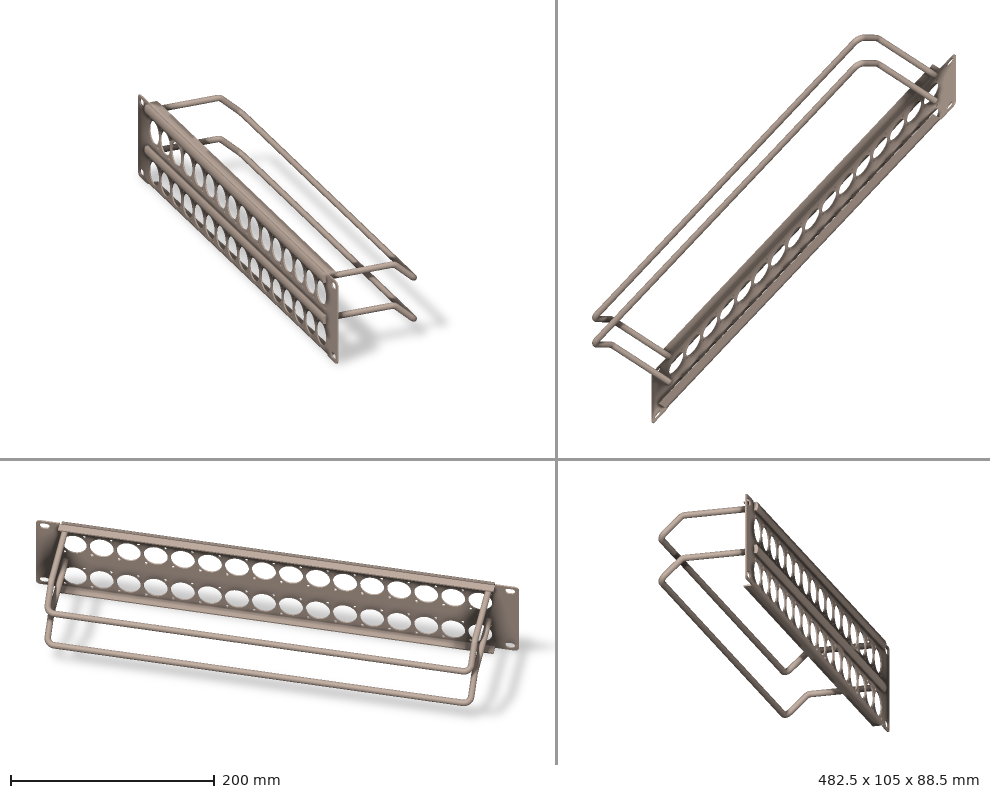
import cadquery as cq
import math

PANEL_WIDTH = 482.5
PANEL_HEIGHT = 88.5
SHEET = 1.5
CORNER_RADIUS = 4.0
ROWS = 2
ROW_PITCH = 44.5

FLANGE_LENGTH = 435.5
FLANGE_DEPTH = 10.0
BEND_INNER_RADIUS = 1.5
BEND_OUTER_RADIUS = BEND_INNER_RADIUS + SHEET

SLOT_SPACING_X = 465.0
SLOT_SPACING_Z = 76.0
SLOT_LENGTH = 10.0
SLOT_HEIGHT = 6.8

COLUMNS = 16
COLUMN_PITCH = 27.0
UPPER_ROW_Z = 18.0
CUTOUT_DIAMETER = 24.0
SCREW_DIAMETER = 3.2
SCREW_OFFSET_X = 9.5
SCREW_OFFSET_Z = 12.0

UPPER_STRIP_Z = 38.5
STRIP_LENGTH = 432.5
STRIP_HEIGHT = 9.5
STRIP_BASE_HEIGHT = 8.5
STRIP_EDGE_DEPTH = 3.0
STRIP_DEPTH = 4.5

OVERALL_DEPTH = 105.0
BAR_DIAMETER = 6.5
UPPER_BAR_Z = 38.0
BAR_SPACING = 423.0
BAR_BEND_RADIUS = 7.0
BAR_RUN = 23.0
BAR_DROP = 20.8

BAR_REAR_Y = OVERALL_DEPTH - STRIP_DEPTH - BAR_DIAMETER / 2
BAR_KNEE_Y = BAR_REAR_Y - BAR_RUN


def front_plane():
    """Sketch plane on the panel front, with local Y along +Z and its normal toward -Y."""
    return cq.Workplane("XZ")


def make_panel():
    return (
        front_plane().rect(PANEL_WIDTH, PANEL_HEIGHT).extrude(-SHEET)
        .edges("|Y").fillet(CORNER_RADIUS)
    )


def make_top_flange():
    """Rolled bend and flat lip, running the length of the top edge."""
    top = PANEL_HEIGHT / 2
    bend_z = top - BEND_OUTER_RADIUS
    diagonal = 0.5 ** 0.5
    return (
        cq.Workplane("YZ")
        .moveTo(0, bend_z)
        .threePointArc(
            (BEND_OUTER_RADIUS * (1 - diagonal), bend_z + BEND_OUTER_RADIUS * diagonal),
            (BEND_OUTER_RADIUS, top),
        )
        .lineTo(FLANGE_DEPTH, top)
        .lineTo(FLANGE_DEPTH, top - SHEET)
        .lineTo(BEND_OUTER_RADIUS, top - SHEET)
        .threePointArc(
            (BEND_OUTER_RADIUS - BEND_INNER_RADIUS * diagonal, bend_z + BEND_INNER_RADIUS * diagonal),
            (SHEET, bend_z),
        )
        .close()
        .extrude(FLANGE_LENGTH / 2, both=True)
    )


def make_bend_clearance():
    """Strip of the flat panel removed where the top bend goes."""
    centre_z = (PANEL_HEIGHT - BEND_OUTER_RADIUS) / 2
    return front_plane().center(0, centre_z).rect(FLANGE_LENGTH, BEND_OUTER_RADIUS).extrude(-SHEET)


def make_openings():
    """Rack slots, connector cutouts and their diagonal screw holes."""
    slots = (
        front_plane().rect(SLOT_SPACING_X, SLOT_SPACING_Z, forConstruction=True)
        .vertices().slot2D(SLOT_LENGTH, SLOT_HEIGHT).extrude(-SHEET)
    )
    centres = [
        ((column - (COLUMNS - 1) / 2) * COLUMN_PITCH, UPPER_ROW_Z - row * ROW_PITCH)
        for column in range(COLUMNS)
        for row in range(ROWS)
    ]
    screws = [
        (x + side * SCREW_OFFSET_X, z - side * SCREW_OFFSET_Z)
        for x, z in centres
        for side in (-1, 1)
    ]
    cutouts = front_plane().pushPoints(centres).circle(CUTOUT_DIAMETER / 2).extrude(-SHEET)
    screw_holes = front_plane().pushPoints(screws).circle(SCREW_DIAMETER / 2).extrude(-SHEET)
    return slots.union(cutouts).union(screw_holes)


def make_strip(z):
    """Label strip: a narrow base carrying a wider, outward-bowed face."""
    base = STRIP_BASE_HEIGHT / 2
    edge = STRIP_HEIGHT / 2
    return (
        cq.Workplane("YZ", origin=(0, 0, z))
        .moveTo(0, -base)
        .lineTo(-STRIP_EDGE_DEPTH, -base)
        .lineTo(-STRIP_EDGE_DEPTH, -edge)
        .threePointArc((-STRIP_DEPTH, 0), (-STRIP_EDGE_DEPTH, edge))
        .lineTo(-STRIP_EDGE_DEPTH, base)
        .lineTo(0, base)
        .close()
        .extrude(STRIP_LENGTH / 2, both=True)
    )


def make_bar(z):
    """Round bar leaving the panel, sloping down and then crossing to the other side."""
    half = BAR_SPACING / 2
    corners = [
        cq.Vector(-half, SHEET, z),
        cq.Vector(-half, BAR_KNEE_Y, z),
        cq.Vector(-half, BAR_REAR_Y, z - BAR_DROP),
        cq.Vector(half, BAR_REAR_Y, z - BAR_DROP),
        cq.Vector(half, BAR_KNEE_Y, z),
        cq.Vector(half, SHEET, z),
    ]
    path = []
    start = corners[0]
    for before, corner, after in zip(corners, corners[1:], corners[2:]):
        toward_start = (before - corner).normalized()
        toward_end = (after - corner).normalized()
        half_angle = toward_start.getAngle(toward_end) / 2
        setback = BAR_BEND_RADIUS / math.tan(half_angle)
        bisector = (toward_start + toward_end).normalized()
        bend_start = corner + toward_start * setback
        bend_middle = corner + bisector * (BAR_BEND_RADIUS / math.sin(half_angle) - BAR_BEND_RADIUS)
        bend_end = corner + toward_end * setback
        path.append(cq.Edge.makeLine(start, bend_start))
        path.append(cq.Edge.makeThreePointArc(bend_start, bend_middle, bend_end))
        start = bend_end
    path.append(cq.Edge.makeLine(start, corners[-1]))
    profile = cq.Workplane("XZ", origin=corners[0].toTuple()).circle(BAR_DIAMETER / 2)
    return profile.sweep(cq.Workplane("XY").newObject([cq.Wire.assembleEdges(path)]))


clearance = make_bend_clearance()
flange = make_top_flange()
result = make_panel().cut(clearance).cut(clearance.mirror("XY"))
result = result.union(flange).union(flange.mirror("XY")).cut(make_openings())
for row in range(ROWS):
    drop = row * ROW_PITCH
    result = result.union(make_strip(UPPER_STRIP_Z - drop)).union(make_bar(UPPER_BAR_Z - drop))